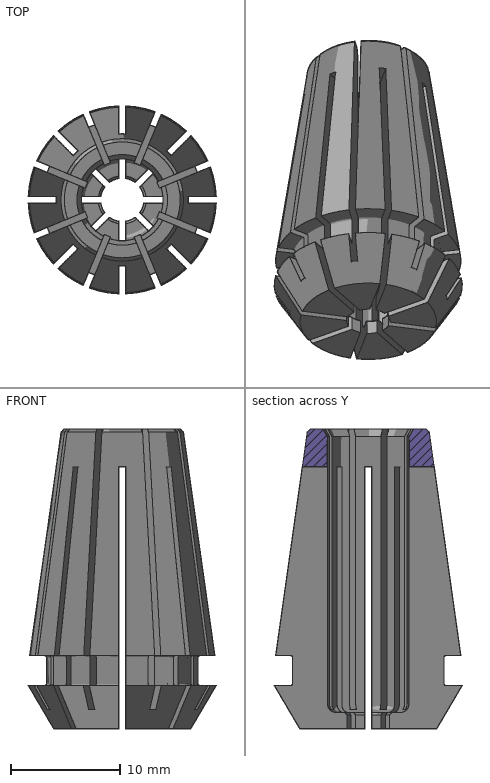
import cadquery as cq
import math

total_height = 27.5
flange_top_z = 4.0
groove_top_z = 6.7

nose_radius = 6.32
flange_diameter = 17.25
flange_radius = flange_diameter / 2
groove_radius = 6.95
cone_base_radius = 8.5
cone_tip_radius = 5.6
tip_chamfer = 0.3
nose_chamfer = 0.08
groove_fillet = 0.16

bore_radius = 3.75
mouth_chamfer_width = 0.4
mouth_chamfer_depth = 0.72
seat_z = 1.5
seat_fillet = 0.77
hole_radius = 1.98
hole_chamfer = 0.22

slot_width = 0.6
slots_per_set = 8
slot_pitch = 360 / slots_per_set
nose_slot_end_z = 24.0
tip_slot_end_z = 1.8
slot_overcut = 0.28


def fillet_midpoint(center_r, center_z, radius, r_side, z_side):
    """Middle of a quarter-circle fillet; r_side and z_side (+1 or -1) tell which way it faces from its center."""
    offset = radius * math.sqrt(0.5)
    return (center_r + r_side * offset, center_z + z_side * offset)


def make_body():
    """Revolve the half section of the collet about Z."""
    groove_center_r = groove_radius + groove_fillet
    groove_low_z = flange_top_z + groove_fillet
    groove_high_z = groove_top_z - groove_fillet
    seat_center_r = bore_radius - seat_fillet
    seat_center_z = seat_z + seat_fillet

    section = (
        cq.Workplane("XZ")
        .moveTo(hole_radius, 0)
        .lineTo(nose_radius - nose_chamfer, 0)
        .lineTo(nose_radius, nose_chamfer)
        .lineTo(flange_radius, flange_top_z)
        .lineTo(groove_center_r, flange_top_z)
        .threePointArc(
            fillet_midpoint(groove_center_r, groove_low_z, groove_fillet, -1, -1),
            (groove_radius, groove_low_z),
        )
        .lineTo(groove_radius, groove_high_z)
        .threePointArc(
            fillet_midpoint(groove_center_r, groove_high_z, groove_fillet, -1, 1),
            (groove_center_r, groove_top_z),
        )
        .lineTo(cone_base_radius, groove_top_z)
        .lineTo(cone_tip_radius, total_height - tip_chamfer)
        .lineTo(cone_tip_radius - tip_chamfer, total_height)
        .lineTo(bore_radius + mouth_chamfer_width, total_height)
        .lineTo(bore_radius, total_height - mouth_chamfer_depth)
        .lineTo(bore_radius, seat_center_z)
        .threePointArc(
            fillet_midpoint(seat_center_r, seat_center_z, seat_fillet, 1, -1),
            (seat_center_r, seat_z),
        )
        .lineTo(hole_radius + hole_chamfer, seat_z)
        .lineTo(hole_radius, seat_z - hole_chamfer)
        .close()
    )
    return section.revolve(360, (0, 0, 0), (0, 1, 0))


def make_slots(bottom_z, top_z, start_angle):
    """A set of evenly spaced radial saw cuts; each blade spans the axis and cuts two opposite slots."""
    blade_length = 2 * (flange_radius + slot_overcut)
    blade = (
        cq.Workplane("XY", origin=(0, 0, bottom_z))
        .rect(blade_length, slot_width)
        .extrude(top_z - bottom_z)
    )
    slots = cq.Workplane("XY")
    for index in range(slots_per_set // 2):
        angle = start_angle + index * slot_pitch
        slots = slots.add(blade.rotate((0, 0, 0), (0, 0, 1), angle))
    return slots.combine()


nose_slots = make_slots(-slot_overcut, nose_slot_end_z, 0)
tip_slots = make_slots(tip_slot_end_z, total_height + slot_overcut, slot_pitch / 2)

result = make_body().cut(nose_slots).cut(tip_slots)